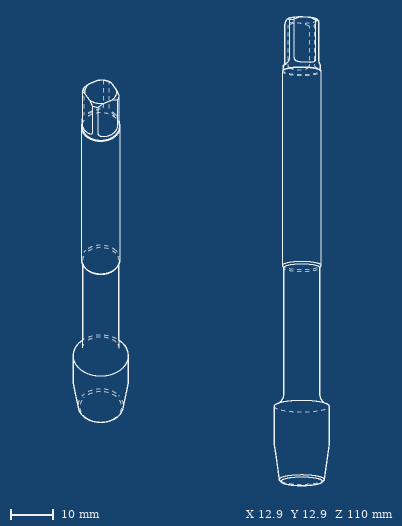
import cadquery as cq
import math

TOTAL_LENGTH = 110.0
TAPER_TOP = 8.8
CUTTING_LENGTH = 17.9
NECK_STEP_START = 50.9
NECK_STEP_LENGTH = 0.5
SHANK_TOP = 97.9
SQUARE_BASE = 100.1

CUTTING_DIAMETER = 12.9
TIP_DIAMETER = 10.6
NECK_DIAMETER = 8.5
SHANK_DIAMETER = 9.0
DRIVE_DIAMETER = 8.7

SQUARE_WIDTH = 7.0
RUNOUT_RADIUS = 1.1
TIP_CHAMFER = 0.4
SHOULDER_RADIUS = 3.1
DRIVE_CHAMFER = 0.7

CUTTING_RADIUS = CUTTING_DIAMETER / 2
NECK_RADIUS = NECK_DIAMETER / 2
SHANK_RADIUS = SHANK_DIAMETER / 2
DRIVE_RADIUS = DRIVE_DIAMETER / 2
DRIVE_STEP = SHANK_RADIUS - DRIVE_RADIUS


def revolve_profile(profile):
    """Turn a closed radius-height outline about the Z axis."""
    return profile.close().revolve(360, (0, 0, 0), (0, 1, 0))


def make_cutting_head():
    """Cylindrical head with a tapered lead and a chamfered tip."""
    tip_radius = TIP_DIAMETER / 2
    profile = (
        cq.Workplane("XZ")
        .lineTo(tip_radius - TIP_CHAMFER, 0)
        .lineTo(tip_radius, TIP_CHAMFER)
        .lineTo(CUTTING_RADIUS, TAPER_TOP)
        .lineTo(CUTTING_RADIUS, CUTTING_LENGTH)
        .lineTo(0, CUTTING_LENGTH)
    )
    return revolve_profile(profile)


def make_turned_shank():
    """Neck flaring onto the head, shank and round drive end."""
    flare_angle = math.acos(1 - (CUTTING_RADIUS - NECK_RADIUS) / SHOULDER_RADIUS)
    flare_top = CUTTING_LENGTH + SHOULDER_RADIUS * math.sin(flare_angle)
    middle_angle = flare_angle / 2
    flare_middle = (
        NECK_RADIUS + SHOULDER_RADIUS * (1 - math.cos(middle_angle)),
        flare_top - SHOULDER_RADIUS * math.sin(middle_angle),
    )
    profile = (
        cq.Workplane("XZ")
        .moveTo(0, CUTTING_LENGTH)
        .lineTo(CUTTING_RADIUS, CUTTING_LENGTH)
        .threePointArc(flare_middle, (NECK_RADIUS, flare_top))
        .lineTo(NECK_RADIUS, NECK_STEP_START)
        .lineTo(SHANK_RADIUS, NECK_STEP_START + NECK_STEP_LENGTH)
        .lineTo(SHANK_RADIUS, SHANK_TOP - DRIVE_STEP)
        .lineTo(DRIVE_RADIUS, SHANK_TOP)
        .lineTo(DRIVE_RADIUS, TOTAL_LENGTH - DRIVE_CHAMFER)
        .lineTo(DRIVE_RADIUS - DRIVE_CHAMFER, TOTAL_LENGTH)
        .lineTo(0, TOTAL_LENGTH)
    )
    return revolve_profile(profile)


def make_flat_cutter():
    """Material beside one drive flat, running out in a concave arc tangent to it."""
    flat = SQUARE_WIDTH / 2
    outside = flat + RUNOUT_RADIUS
    diagonal_reach = RUNOUT_RADIUS * math.sqrt(0.5)
    runout_middle = (outside - diagonal_reach, SQUARE_BASE - diagonal_reach)
    return (
        cq.Workplane("XZ")
        .moveTo(flat, SQUARE_BASE)
        .threePointArc(runout_middle, (outside, SQUARE_BASE - RUNOUT_RADIUS))
        .lineTo(outside, TOTAL_LENGTH)
        .lineTo(flat, TOTAL_LENGTH)
        .close()
        .extrude(SHANK_RADIUS, both=True)
    )


def make_shank():
    """Turned shank with four flats forming the driving square."""
    shank = make_turned_shank()
    flat_cutter = make_flat_cutter()
    for angle in (0, 90, 180, 270):
        shank = shank.cut(flat_cutter.rotate((0, 0, 0), (0, 0, 1), angle))
    return shank


cutting_head = make_cutting_head()
shank = make_shank()

result = cq.Compound.makeCompound([cutting_head.val(), shank.val()])